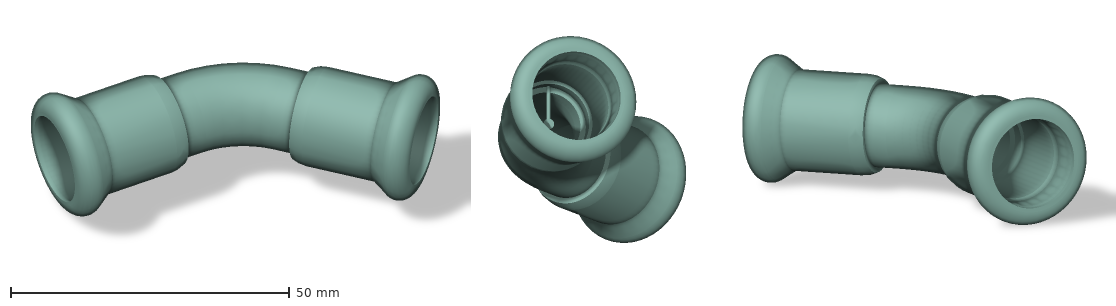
import cadquery as cq
import math

overall_length = 68.55
bend_angle = math.radians(45.0)
leg_length = 26.7

tube_radius = 15.0 / 2
tube_bore_radius = 12.0 / 2

socket_radius = 18.3 / 2
bead_radius = 2.7
bead_center_radius = 23.2 / 2 - bead_radius
cone_end_depth = 7.1
round_start_depth = 20.1
socket_length = 22.7
end_face_radius = 8.5

mouth_radius = 8.15
wall = 1.0
lip_depth = wall
seat_radius = socket_radius - wall
taper_end_depth = 7.5
insert_radius = 15.2 / 2
insert_depth = round_start_depth
stop_radius = 14.0 / 2
stop_depth = socket_length

seal_end_depth = 6.3
seal_front_radius = mouth_radius - 0.1
seal_front_depth = 1.8
seal_rear_radius = 15.8 / 2

hub_radius = 0.95
hub_length = 0.8
spoke_radius = 0.35
spoke_embed = 0.3

bend_sin = math.sin(bend_angle)
bend_cos = math.cos(bend_angle)
far_bead_reach = (leg_length - bead_radius) * bend_cos + bead_center_radius * bend_sin + bead_radius
bend_radius = (overall_length - leg_length - far_bead_reach) / bend_sin

cone_run = cone_end_depth - bead_radius
cone_rise = socket_radius - bead_center_radius
tangent_angle = math.atan2(cone_run, cone_rise) - math.acos(bead_radius / math.hypot(cone_run, cone_rise))


def bead_point(radius, angle):
    """Point on a circle about the bead centre; angle 0 is outward, positive is deeper."""
    return (
        bead_center_radius + radius * math.cos(angle),
        bead_radius + radius * math.sin(angle),
    )


cavity_radius = bead_radius - wall
arc_mid_angle = (tangent_angle - math.pi / 2) / 2
cavity_front = bead_point(cavity_radius, -math.pi / 2)
cavity_mid = bead_point(cavity_radius, arc_mid_angle)
cavity_tangent = bead_point(cavity_radius, tangent_angle)


def revolve_profile(profile):
    """Revolve a (radius, depth) profile about the Y axis."""
    return profile.close().revolve(360, (0, 0, 0), (0, 1, 0))


def make_socket_exterior():
    return revolve_profile(
        cq.Workplane("XY")
        .lineTo(bead_center_radius, 0)
        .threePointArc(
            bead_point(bead_radius, arc_mid_angle),
            bead_point(bead_radius, tangent_angle),
        )
        .lineTo(socket_radius, cone_end_depth)
        .lineTo(socket_radius, round_start_depth)
        .tangentArcPoint((end_face_radius, socket_length), relative=False)
        .lineTo(0, socket_length)
    )


def make_socket_cavity():
    """Mouth, seal groove, insertion bore and stepped stop, as the volume to remove."""
    return revolve_profile(
        cq.Workplane("XY")
        .lineTo(mouth_radius, 0)
        .lineTo(mouth_radius, lip_depth)
        .lineTo(*cavity_front)
        .threePointArc(cavity_mid, cavity_tangent)
        .lineTo(seat_radius, seal_end_depth)
        .lineTo(seal_rear_radius, seal_end_depth)
        .lineTo(insert_radius, taper_end_depth)
        .lineTo(insert_radius, insert_depth)
        .lineTo(stop_radius, insert_depth)
        .lineTo(stop_radius, stop_depth)
        .lineTo(0, stop_depth)
    )


def make_seal():
    return revolve_profile(
        cq.Workplane("XY")
        .moveTo(seal_front_radius, seal_front_depth)
        .lineTo(mouth_radius, lip_depth)
        .lineTo(*cavity_front)
        .threePointArc(cavity_mid, cavity_tangent)
        .lineTo(seat_radius, seal_end_depth)
        .lineTo(seal_rear_radius, seal_end_depth)
    )


def place_at_far_end(shape):
    """Carry a shape from the first mouth to the second, turned to face outward."""
    mouth_x = bend_radius * (1 - bend_cos) + leg_length * bend_sin
    mouth_y = leg_length + bend_radius * bend_sin + leg_length * bend_cos
    turned = shape.rotate((0, 0, 0), (0, 0, 1), 180 - math.degrees(bend_angle))
    return turned.translate((mouth_x, mouth_y, 0))


def make_leg(radius, start_depth):
    return cq.Workplane("XZ", origin=(0, start_depth, 0)).circle(radius).extrude(start_depth - leg_length)


def make_bend(radius):
    return (
        cq.Workplane("XZ", origin=(0, leg_length, 0))
        .circle(radius)
        .revolve(math.degrees(bend_angle), (bend_radius, 0.7, 0), (bend_radius, 0, 0))
    )


def make_tube(radius, start_depth):
    """Solid rod along both legs and the bend."""
    leg = make_leg(radius, start_depth)
    return leg.union(make_bend(radius)).union(place_at_far_end(leg))


def make_hub():
    """Disc on the bore axis with its radial spoke, at the stop of the first socket."""
    hub = cq.Workplane("XZ", origin=(0, stop_depth, 0)).circle(hub_radius).extrude(hub_length)
    spoke = (
        cq.Workplane("XY", origin=(0, stop_depth - hub_length / 2, 0))
        .circle(spoke_radius)
        .extrude(stop_radius + spoke_embed)
    )
    return hub.union(spoke)


def make_fitting():
    exterior = make_socket_exterior()
    cavity = make_socket_cavity()
    body = make_tube(tube_radius, insert_depth).union(exterior).union(place_at_far_end(exterior))
    body = body.cut(make_tube(tube_bore_radius, insert_depth))
    body = body.cut(cavity).cut(place_at_far_end(cavity))
    return body.union(make_hub())


fitting = make_fitting()
near_seal = make_seal()
seals = [near_seal, place_at_far_end(near_seal)]

result = cq.Compound.makeCompound([fitting.val(), *[seal.val() for seal in seals]])